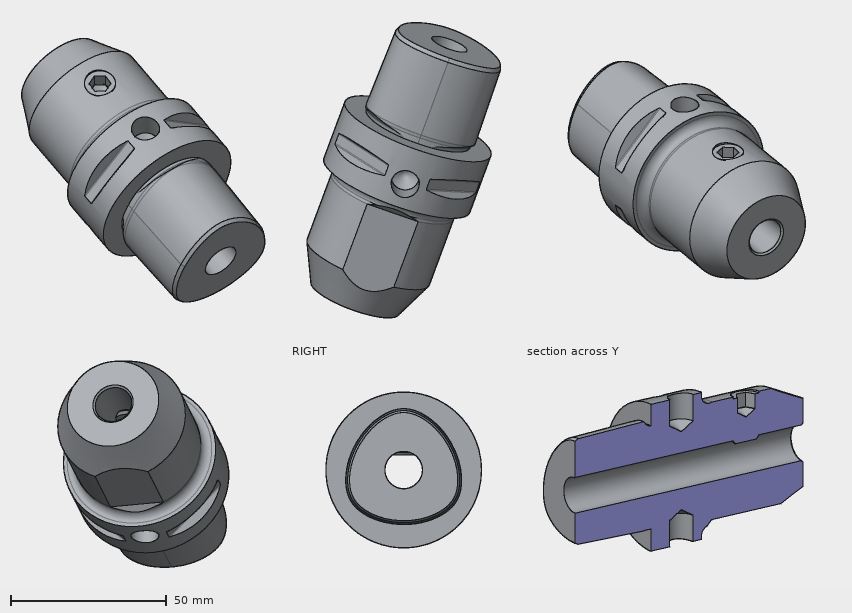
import cadquery as cq
import math

LENGTH = 90.0

NOSE_RADIUS = 15.0
NOSE_LENGTH = 12.8
BODY_RADIUS = 21.0
BODY_END = 36.0
BODY_FLAT_HEIGHT = 19.1
BORE_DIAMETER = 12.0
BORE_CHAMFER = 0.6

FLANGE_RADIUS = 25.0
FLANGE_START = 40.0
FLANGE_END = 60.0
FILLET_RADIUS = 3.0
NECK_DROP = 0.2

SLOT_CENTRE = 50.0
SLOT_FLOOR_HEIGHT = 22.0
SLOT_FLOOR_WIDTH = 3.8
SLOT_WALL_ANGLE = 25.0
SLOT_CORNER_RADIUS = 0.4
SLOT_ANGLES = (45, 135, 225, 315)

FLANGE_HOLE_X = 48.0
FLANGE_HOLE_DIAMETER = 9.0
FLANGE_HOLE_DEPTH = 9.0
DRILL_POINT_ANGLE = 118.0

SCREW_X = 22.5
SCREW_DIAMETER = 10.0
SCREW_TOP = 20.3
SCREW_TIP = 4.8
SCREW_TIP_CHAMFER = 0.9
SOCKET_ACROSS_FLATS = 6.0
SOCKET_DEPTH = 5.0
SOCKET_ROTATION = -4.0

LOBE_RADIUS = 18.6
LOBE_HEIGHT = 1.1
NECK_STEP = 0.1
NECK_END = 62.0
TAPER_START = 63.1
TAPER_END = 88.65
TAPER_SLOPE = 0.025
END_CHAMFER_DROP = 0.6
GROOVE_RADIUS = 17.7
GROOVE_END = 60.9
GROOVE_CORNER_RADIUS = 2.0

CLEARANCE = 1.5 * FLANGE_RADIUS


def turned_body():
    """Nose cone, cylindrical body, filleted step and flange as one revolved outline."""
    neck_radius = BODY_RADIUS - NECK_DROP
    fillet_start = FLANGE_START - FILLET_RADIUS
    fillet_top = neck_radius + FILLET_RADIUS
    arc_reach = FILLET_RADIUS * math.sqrt(0.5)
    arc_middle = (fillet_start + arc_reach, fillet_top - arc_reach)
    return (
        cq.Workplane("XY")
        .moveTo(0, 0)
        .lineTo(0, NOSE_RADIUS)
        .lineTo(NOSE_LENGTH, BODY_RADIUS)
        .lineTo(BODY_END, BODY_RADIUS)
        .lineTo(fillet_start, neck_radius)
        .threePointArc(arc_middle, (FLANGE_START, fillet_top))
        .lineTo(FLANGE_START, FLANGE_RADIUS)
        .lineTo(FLANGE_END, FLANGE_RADIUS)
        .lineTo(FLANGE_END, 0)
        .close()
        .revolve(360, (0, 0, 0), (1, 0, 0))
    )


def lobe_point(radius, degrees):
    """Point (y, z) on a constant-width three-lobed curve; 0 degrees is the top lobe."""
    angle = math.radians(degrees)
    z = radius * math.cos(angle) + LOBE_HEIGHT * (2 * math.cos(2 * angle) - math.cos(4 * angle))
    y = radius * math.sin(angle) - LOBE_HEIGHT * (2 * math.sin(2 * angle) + math.sin(4 * angle))
    return y, z


def lobe_wire(x, radius):
    """Closed lobed section at x: three smooth curves that meet midway between the lobes."""
    curves = []
    for lobe_angle in (0, 120, 240):
        angles = range(lobe_angle - 60, lobe_angle + 61, 10)
        points = [cq.Vector(x, *lobe_point(radius, angle)) for angle in angles]
        curves.append(cq.Edge.makeSpline(points))
    return cq.Wire.assembleEdges(curves)


def shank():
    """Neck, straight band, taper and end chamfer, with a round relief groove behind the flange."""
    taper_end_radius = LOBE_RADIUS - TAPER_SLOPE * (TAPER_END - TAPER_START)
    sections = [
        lobe_wire(FLANGE_END, LOBE_RADIUS - NECK_STEP),
        lobe_wire(NECK_END, LOBE_RADIUS - NECK_STEP),
        lobe_wire(TAPER_START, LOBE_RADIUS),
        lobe_wire(TAPER_END, taper_end_radius),
        lobe_wire(LENGTH, taper_end_radius - END_CHAMFER_DROP),
    ]
    solid = cq.Workplane(cq.Solid.makeLoft(sections, True))
    corner_reach = GROOVE_CORNER_RADIUS * math.tan(math.radians(45 / 2))
    corner_rise = corner_reach * math.sqrt(0.5)
    corner_start = (GROOVE_END - corner_reach, GROOVE_RADIUS)
    corner_stop = (GROOVE_END + corner_rise, GROOVE_RADIUS + corner_rise)
    groove = (
        cq.Workplane("XY")
        .moveTo(FLANGE_END, GROOVE_RADIUS)
        .lineTo(*corner_start)
        .tangentArcPoint(corner_stop, relative=False)
        .lineTo(GROOVE_END + CLEARANCE - GROOVE_RADIUS, CLEARANCE)
        .lineTo(FLANGE_END, CLEARANCE)
        .close()
        .revolve(360, (0, 0, 0), (1, 0, 0))
    )
    return solid.cut(groove)


def body_flat():
    """Cutter for the flat under the body, running out at 45 degrees."""
    return (
        cq.Workplane("XZ")
        .moveTo(0, -BODY_FLAT_HEIGHT)
        .lineTo(BODY_END, -BODY_FLAT_HEIGHT)
        .lineTo(BODY_END + FILLET_RADIUS, -BODY_FLAT_HEIGHT - FILLET_RADIUS)
        .lineTo(0, -BODY_FLAT_HEIGHT - FILLET_RADIUS)
        .close()
        .extrude(CLEARANCE, both=True)
    )


def gripper_slot(angle):
    """Cutter for one slot with sloping walls and rounded floor corners, tangential to the flange."""
    depth = FLANGE_RADIUS - SLOT_FLOOR_HEIGHT
    half_floor = SLOT_FLOOR_WIDTH / 2
    half_top = half_floor + depth * math.tan(math.radians(SLOT_WALL_ANGLE))
    return (
        cq.Workplane("XZ")
        .moveTo(SLOT_CENTRE - half_floor, SLOT_FLOOR_HEIGHT)
        .lineTo(SLOT_CENTRE + half_floor, SLOT_FLOOR_HEIGHT)
        .lineTo(SLOT_CENTRE + half_top, FLANGE_RADIUS)
        .lineTo(SLOT_CENTRE - half_top, FLANGE_RADIUS)
        .close()
        .extrude(FLANGE_RADIUS, both=True)
        .faces("<Z")
        .edges("|Y")
        .fillet(SLOT_CORNER_RADIUS)
        .rotate((0, 0, 0), (1, 0, 0), angle)
    )


def drill_point(diameter, x, base_height):
    """Downward cone left by a drill at the bottom of a hole."""
    radius = diameter / 2
    height = radius / math.tan(math.radians(DRILL_POINT_ANGLE / 2))
    cone = cq.Solid.makeCone(radius, 0, height, cq.Vector(x, 0, base_height), cq.Vector(0, 0, -1))
    return cq.Workplane(cone)


def flange_hole():
    """Cutter for the blind drilled hole in the top of the flange."""
    bottom = FLANGE_RADIUS - FLANGE_HOLE_DEPTH
    drill = (
        cq.Workplane("XY", origin=(FLANGE_HOLE_X, 0, bottom))
        .circle(FLANGE_HOLE_DIAMETER / 2)
        .extrude(FLANGE_HOLE_DEPTH)
    )
    return drill.union(drill_point(FLANGE_HOLE_DIAMETER, FLANGE_HOLE_X, bottom))


def bore():
    """Cutter for the through bore with a chamfered mouth at the nose."""
    bore_radius = BORE_DIAMETER / 2
    mouth = cq.Solid.makeCone(
        bore_radius + BORE_CHAMFER, bore_radius, BORE_CHAMFER, cq.Vector(0, 0, 0), cq.Vector(1, 0, 0)
    )
    return cq.Workplane("YZ").circle(bore_radius).extrude(LENGTH).union(cq.Workplane(mouth))


def screw_cylinder(bottom, top):
    """Cylinder on the screw axis between two heights."""
    return (
        cq.Workplane("XY", origin=(SCREW_X, 0, bottom))
        .circle(SCREW_DIAMETER / 2)
        .extrude(top - bottom)
    )


def screw_socket():
    """Cutter for the hexagon socket, ending in a drill point as wide as the corners."""
    across_corners = SOCKET_ACROSS_FLATS / math.cos(math.radians(30))
    bottom = SCREW_TOP - SOCKET_DEPTH
    hexagon = (
        cq.Workplane("XY", origin=(SCREW_X, 0, bottom))
        .transformed(rotate=(0, 0, SOCKET_ROTATION))
        .polygon(6, across_corners)
        .extrude(SOCKET_DEPTH)
    )
    return hexagon.union(drill_point(across_corners, SCREW_X, bottom))


result = turned_body().union(shank()).cut(body_flat())

for slot_angle in SLOT_ANGLES:
    result = result.cut(gripper_slot(slot_angle))

for hole_angle in (0, 180):
    result = result.cut(flange_hole().rotate((0, 0, 0), (1, 0, 0), hole_angle))

result = result.cut(bore())

result = result.cut(screw_cylinder(SCREW_TOP, BODY_RADIUS))
screw = screw_cylinder(SCREW_TIP, SCREW_TOP).faces("<Z").chamfer(SCREW_TIP_CHAMFER)
result = result.union(screw)
result = result.cut(screw_socket())